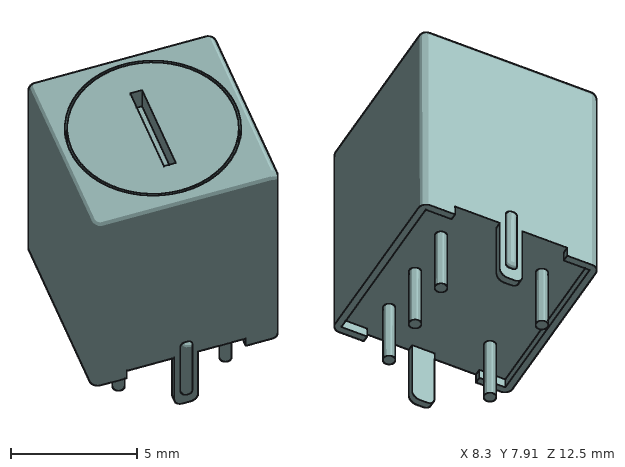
import cadquery as cq

total_height = 12.5
width_over_beads = 8.3
can_width = 7.91
can_bottom = 2.5
can_edge_radius = 0.35
wall = 0.3

window_top = 2.95
window_width = 5.0

tab_width = 1.0
tab_corner_radius = 0.35

bead_width = 0.5
bead_bottom = 0.6
bead_top = 3.75
bead_depth = (width_over_beads - can_width) / 2
bead_edge_radius = 0.2

pin_diameter = 0.5
pin_pitch = 2.25

core_radius = 3.4
groove_width = 0.1
slot_length = 4.0
slot_width = 0.5
recess_depth = 1.0

half_width = can_width / 2
inner_width = can_width - 2 * wall


def make_can():
    """Square can, rounded on its upright and top edges, open to a recessed floor below."""
    can = (
        cq.Workplane("XY", origin=(0, 0, can_bottom))
        .rect(can_width, can_width)
        .extrude(total_height - can_bottom)
        .edges("|Z or >Z")
        .fillet(can_edge_radius)
    )
    recess_height = window_top - can_bottom
    recess = (
        cq.Workplane("XY", origin=(0, 0, can_bottom))
        .rect(inner_width, inner_width)
        .extrude(recess_height)
    )
    windows = (
        cq.Workplane("XY", origin=(0, 0, can_bottom))
        .rect(can_width, window_width)
        .extrude(recess_height)
    )
    return can.cut(recess).cut(windows)


def make_tab(side):
    """Flat solder tab continuing a side wall down, side is -1 or +1 along X."""
    return (
        cq.Workplane("XY", origin=(side * (half_width - wall / 2), 0, 0))
        .rect(wall, tab_width)
        .extrude(window_top)
        .edges("|X and <Z")
        .fillet(tab_corner_radius)
    )


def make_bead(side):
    """Rounded upright bead raised from the outer face of a tab and the wall above it."""
    inner_face = half_width - wall / 2
    outer_face = half_width + bead_depth
    outer_selector = ">X" if side > 0 else "<X"
    return (
        cq.Workplane("XY", origin=(side * (inner_face + outer_face) / 2, 0, bead_bottom))
        .rect(outer_face - inner_face, bead_width)
        .extrude(bead_top - bead_bottom)
        .edges(f"|X or {outer_selector}")
        .fillet(bead_edge_radius)
    )


def make_pins():
    """Three pins in the rear row and two in the front row, rooted in the recessed floor."""
    rear_row = [(column * pin_pitch, pin_pitch) for column in (-1, 0, 1)]
    front_row = [(column * pin_pitch, -pin_pitch) for column in (-1, 1)]
    return (
        cq.Workplane("XY")
        .pushPoints(rear_row + front_row)
        .circle(pin_diameter / 2)
        .extrude(window_top)
    )


def make_core_cuts():
    """Ring groove around the adjusting core, and the screwdriver slot across it."""
    floor = cq.Workplane("XY", origin=(0, 0, total_height - recess_depth))
    groove = floor.circle(core_radius + groove_width).circle(core_radius).extrude(recess_depth)
    slot = floor.rect(slot_length, slot_width).extrude(recess_depth)
    return groove.union(slot)


result = make_can().cut(make_core_cuts()).union(make_pins())
for tab_side in (-1, 1):
    result = result.union(make_tab(tab_side)).union(make_bead(tab_side))